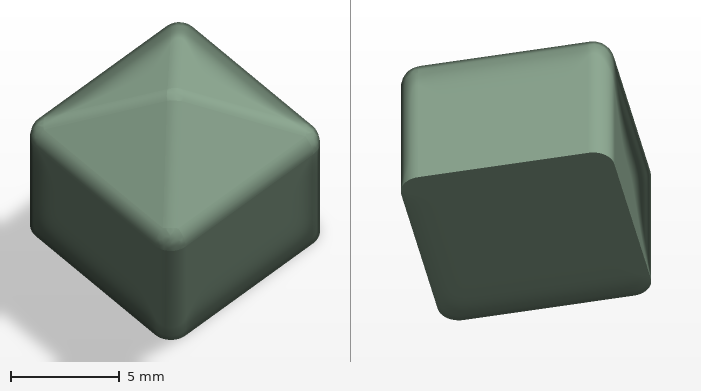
import cadquery as cq
import math

width = 10.0
eave_height = 7.0
roof_angle = 30.0
edge_radius = 1.0

roof_rise = width / 2 * math.tan(math.radians(roof_angle))


def sharp_roof():
    """Four-sided pyramid, where two crossing gable prisms overlap."""
    gable_points = [(-width / 2, 0), (width / 2, 0), (0, roof_rise)]
    gable_along_y = cq.Workplane("XZ").polyline(gable_points).close().extrude(width / 2, both=True)
    gable_along_x = gable_along_y.rotate((0, 0, 0), (0, 0, 1), 90)
    return gable_along_y.intersect(gable_along_x).translate((0, 0, eave_height))


block = cq.Workplane("XY").rect(width, width).extrude(eave_height)
cap = block.union(sharp_roof())

result = cap.edges("not <Z").fillet(edge_radius)